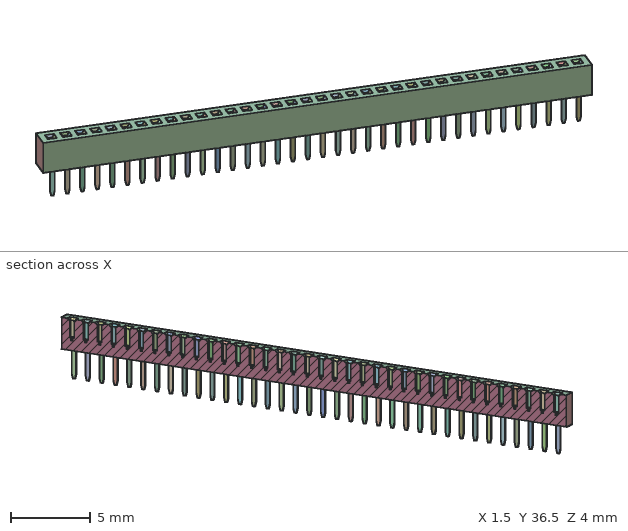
import cadquery as cq


housing_length = 36.5
housing_width = 1.5
housing_height = 2.1
total_height = 4.0

contact_count = 36
end_margin_in_pitches = 0.75
pitch = housing_length / (contact_count - 1 + 2 * end_margin_in_pitches)

web_between_mouths = 0.4
mouth_size = pitch - web_between_mouths
throat_size = 0.3
funnel_depth = (mouth_size - throat_size) / 2
throat_depth = 1.1
slot_length = 0.2
slot_width = 0.1
slot_depth = 0.2

pin_length = total_height - housing_height
pin_offset = 0.3
pin_thickness = 0.1
pin_breadth = 0.3
tip_length = 0.31
tip_breadth = 0.15


def frustum(x, top_z, depth, top_size, bottom_size):
    """Straight-walled taper going down from top_z; each size is (along X, along Y)."""
    return (
        cq.Workplane("XY", origin=(x, 0, top_z))
        .rect(*top_size)
        .workplane(offset=-depth)
        .rect(*bottom_size)
        .loft(ruled=True)
    )


def block_below(x, top_z, depth, size):
    """Rectangular block going down from top_z; size is (along X, along Y)."""
    return cq.Workplane("XY", origin=(x, 0, top_z)).rect(*size).extrude(-depth)


def make_socket():
    """Volume removed for one socket: funnel, blind throat and floor slot."""
    mouth = (mouth_size, mouth_size)
    throat = (throat_size, throat_size)
    throat_top = housing_height - funnel_depth
    throat_floor = throat_top - throat_depth
    return (
        frustum(0, housing_height, funnel_depth, mouth, throat)
        .union(block_below(0, throat_top, throat_depth, throat))
        .union(block_below(0, throat_floor, slot_depth, (slot_length, slot_width)))
    )


def make_pin():
    """Flat pin hanging below the housing, narrowing along Y to a blunt tip."""
    shank = (pin_thickness, pin_breadth)
    tip = (pin_thickness, tip_breadth)
    shank_length = pin_length - tip_length
    return block_below(pin_offset, 0, shank_length, shank).union(
        frustum(pin_offset, -shank_length, tip_length, shank, tip)
    )


def along_row(shape):
    """One copy of the shape at every contact position."""
    solid = shape.val()
    return (
        cq.Workplane("XY")
        .rarray(pitch, pitch, 1, contact_count)
        .eachpoint(lambda place: solid.moved(place))
    )


housing = cq.Workplane("XY").box(
    housing_width, housing_length, housing_height, centered=(True, True, False)
)
result = housing.cut(along_row(make_socket())).union(along_row(make_pin())).solids()